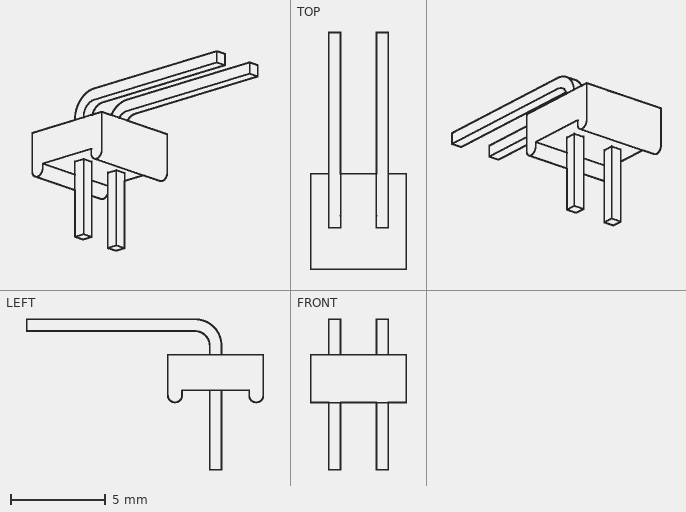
import cadquery as cq

pitch = 2.54
pin_count = 2
housing_height = 2.54
block_height = 1.9
foot_width = 0.77
pin_size = 0.64
pin_rise = 1.89
pin_height = 8.0
overall_length = 12.57
bend_outer_radius = 1.41

housing_width = pitch * pin_count
housing_depth = 2 * pitch
foot_radius = foot_width / 2
bend_inner_radius = bend_outer_radius - pin_size
pin_tip_y = overall_length - housing_depth / 2
pin_bottom_z = pin_rise - pin_height
pin_positions = [(i - (pin_count - 1) / 2) * pitch for i in range(pin_count)]


def make_housing():
    """Block with a round-ended foot along its front and back edges and a square hole per pin."""
    half_depth = housing_depth / 2
    foot_inner_y = half_depth - foot_width
    foot_center_y = half_depth - foot_radius
    foot_arc_z = foot_radius - housing_height
    body = (
        cq.Workplane("YZ", origin=(-housing_width / 2, 0, 0))
        .moveTo(-half_depth, 0)
        .lineTo(half_depth, 0)
        .lineTo(half_depth, foot_arc_z)
        .threePointArc((foot_center_y, -housing_height), (foot_inner_y, foot_arc_z))
        .lineTo(foot_inner_y, -block_height)
        .lineTo(-foot_inner_y, -block_height)
        .lineTo(-foot_inner_y, foot_arc_z)
        .threePointArc((-foot_center_y, -housing_height), (-half_depth, foot_arc_z))
        .close()
        .extrude(housing_width)
    )
    pin_holes = (
        cq.Workplane("XY")
        .pushPoints([(x, 0) for x in pin_positions])
        .rect(pin_size, pin_size)
        .extrude(-housing_height)
    )
    return body.cut(pin_holes)


def make_pin(x):
    """Square pin centred at x, bent from vertical to horizontal toward +Y."""
    half_size = pin_size / 2
    bend_y = bend_outer_radius - half_size
    bend_z = pin_rise - bend_outer_radius
    return (
        cq.Workplane("YZ", origin=(x - half_size, 0, 0))
        .moveTo(-half_size, pin_bottom_z)
        .lineTo(-half_size, bend_z)
        .radiusArc((bend_y, pin_rise), bend_outer_radius)
        .lineTo(pin_tip_y, pin_rise)
        .lineTo(pin_tip_y, pin_rise - pin_size)
        .lineTo(bend_y, pin_rise - pin_size)
        .radiusArc((half_size, bend_z), -bend_inner_radius)
        .lineTo(half_size, pin_bottom_z)
        .close()
        .extrude(pin_size)
    )


housing = make_housing()
pins = [make_pin(x) for x in pin_positions]

result = cq.Compound.makeCompound([housing.val(), *[pin.val() for pin in pins]])